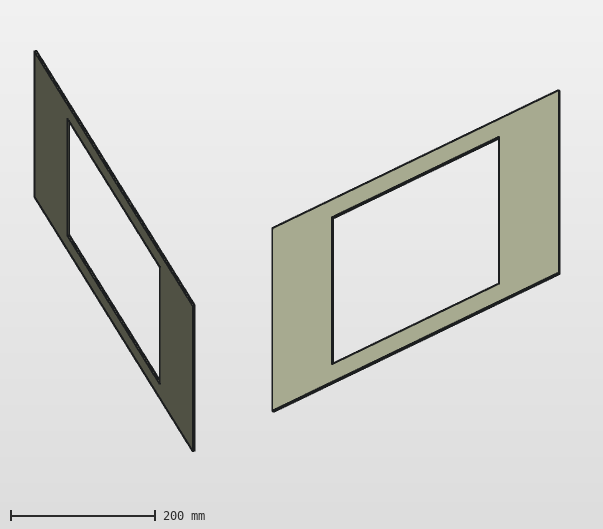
import cadquery as cq

panel_width = 482.0
panel_height = 350.0
panel_thickness = 3.0

window_side = 281.0

panel = cq.Workplane("XZ").rect(panel_width, panel_height)
result = panel.rect(window_side, window_side).extrude(panel_thickness / 2, both=True)